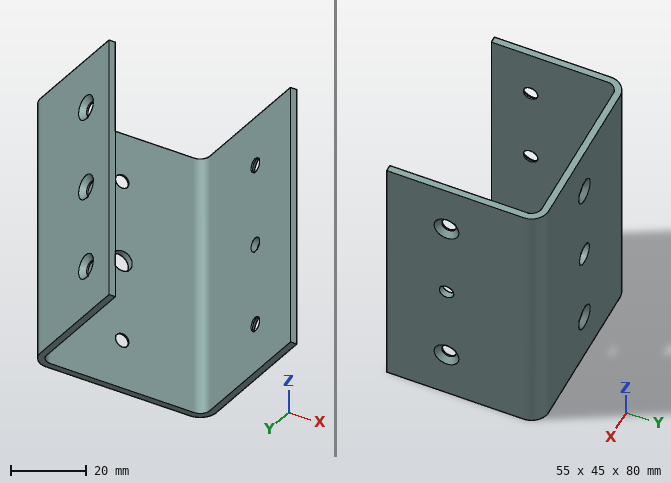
import cadquery as cq

width = 55.0
depth = 45.0
height = 80.0
thickness = 2.0
bend_outer_radius = 5.0
bend_inner_radius = bend_outer_radius - thickness
short_leg_setback = 6.0

hole_pitch = 25.0
small_hole_diameter = 4.2
center_hole_diameter = 6.2
countersink_diameter = 7.2
leg_hole_from_back = 27.5

half_width = width / 2
back_y = depth / 2
front_y = -depth / 2
leg_hole_y = back_y - leg_hole_from_back
countersink_depth = (countersink_diameter - small_hole_diameter) / 2


def make_channel():
    """U-shaped sheet with rounded bends, open toward -Y and centred on the origin."""
    outer = (
        cq.Workplane("XY")
        .box(width, depth, height)
        .edges("|Z and >Y")
        .fillet(bend_outer_radius)
    )
    inner = (
        cq.Workplane("XY")
        .box(width - 2 * thickness, depth, height)
        .edges("|Z and >Y")
        .fillet(bend_inner_radius)
        .translate((0, -thickness, 0))
    )
    return outer.cut(inner)


def shorten_left_leg(body):
    trim = cq.Workplane("XY").box(thickness, short_leg_setback, height)
    trim_x = -half_width + thickness / 2
    trim_y = front_y + short_leg_setback / 2
    return body.cut(trim.translate((trim_x, trim_y, 0)))


def drill_plain(body, face, diameter):
    """Straight hole through the sheet at the origin of the given outer-face plane."""
    drill = cq.Workplane(face).circle(diameter / 2).extrude(-thickness)
    return body.cut(drill)


def drill_countersunk(body, face):
    """Small hole through the sheet, countersunk at the origin of the given outer-face plane."""
    body = drill_plain(body, face, small_hole_diameter)
    cone = cq.Solid.makeCone(
        countersink_diameter / 2,
        small_hole_diameter / 2,
        countersink_depth,
        pnt=face.origin,
        dir=-face.zDir,
    )
    return body.cut(cq.Workplane(cone))


def web_face(z):
    return cq.Plane(origin=(0, back_y, z), xDir=(1, 0, 0), normal=(0, 1, 0))


def leg_face(side, z):
    """Outer face of a leg at a hole; side is -1 or +1 along X."""
    return cq.Plane(
        origin=(side * half_width, leg_hole_y, z), xDir=(0, 1, 0), normal=(side, 0, 0)
    )


result = make_channel()
result = shorten_left_leg(result)

result = drill_plain(result, web_face(0), center_hole_diameter)
result = drill_plain(result, leg_face(1, 0), small_hole_diameter)
result = drill_countersunk(result, leg_face(-1, 0))

for row_z in (-hole_pitch, hole_pitch):
    result = drill_countersunk(result, web_face(row_z))
    for leg_side in (-1, 1):
        result = drill_countersunk(result, leg_face(leg_side, row_z))